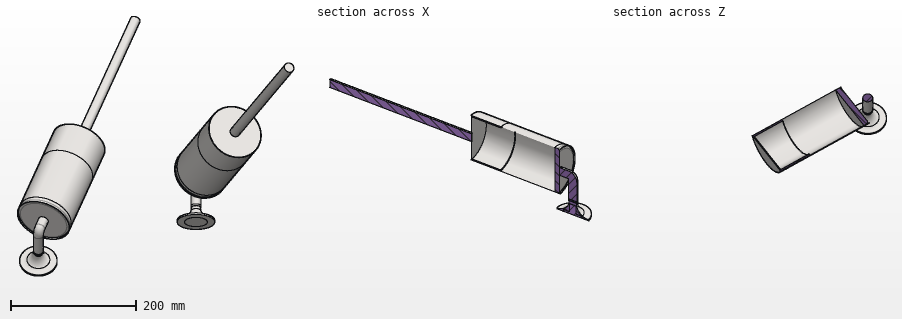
import cadquery as cq
import math


canister_radius = 44.5
flange_radius = 30.0
overall_length = 493.5
overall_height = 120.5
handle_end_y = overall_length - flange_radius
wall_z = canister_radius - overall_height

sleeve_front_y = 24.0
sleeve_length = 170.0
sleeve_back_y = sleeve_front_y + sleeve_length
sleeve_wall = 1.0
bore_radius = canister_radius - sleeve_wall
plug_inset = 0.5
plug_front_y = sleeve_front_y + plug_inset
plug_thickness = 10.0
plug_fillet = 4.0
lid_depth = 56.8
lid_wall = 2.5
lid_front_y = sleeve_back_y - lid_depth

rod_diameter = 16.5
rod_radius = rod_diameter / 2
bend_radius = 8.5

collar_top_z = -48.0
collar_height = 3.0
flange_top_z = collar_top_z - collar_height
flange_neck_radius = 7.5
flange_rim_height = 3.0
flange_rim_z = wall_z + flange_rim_height
flange_arc_radius = flange_top_z - flange_rim_z
mount_boss_radius = 6.5
mount_boss_top_z = -55.5
mount_disc_radius = 18.5
mount_disc_top_z = -71.0


def rod_along_y(radius, start_y, end_y):
    """Solid cylinder on the Y axis between two Y positions."""
    return cq.Workplane("XZ", origin=(0, start_y, 0)).circle(radius).extrude(start_y - end_y)


def disc_along_z(radius, bottom_z, top_z):
    """Solid cylinder on the Z axis between two heights."""
    return cq.Workplane("XY", origin=(0, 0, bottom_z)).circle(radius).extrude(top_z - bottom_z)


def make_sleeve():
    """Thin tube, open at both ends."""
    bore = rod_along_y(bore_radius, sleeve_front_y, sleeve_back_y)
    return rod_along_y(canister_radius, sleeve_front_y, sleeve_back_y).cut(bore)


def make_base_plug():
    """Disc closing the front of the sleeve, with a rounded front edge."""
    plug = rod_along_y(bore_radius, plug_front_y, plug_front_y + plug_thickness)
    return plug.faces("<Y").edges().fillet(plug_fillet)


def make_lid():
    """Cap closing the back of the sleeve, with a skirt reaching into it."""
    cavity = rod_along_y(bore_radius - lid_wall, lid_front_y, sleeve_back_y - lid_wall)
    return rod_along_y(bore_radius, lid_front_y, sleeve_back_y).cut(cavity)


def make_handle():
    """Straight rod standing on the lid."""
    return rod_along_y(rod_radius, sleeve_back_y, handle_end_y)


def make_bent_pipe():
    """Rod from the front of the base plug, bent down to the collar."""
    arc_offset = bend_radius * (1 - math.sqrt(0.5))
    path = (
        cq.Workplane("YZ")
        .moveTo(plug_front_y, 0)
        .lineTo(bend_radius, 0)
        .threePointArc((arc_offset, -arc_offset), (0, -bend_radius))
        .lineTo(0, collar_top_z)
    )
    return cq.Workplane("XZ", origin=(0, plug_front_y, 0)).circle(rod_radius).sweep(path)


def make_collar():
    """Short ring between the pipe and the flange."""
    return disc_along_z(rod_radius, flange_top_z, collar_top_z)


def make_wall_mount():
    """Disc against the wall with a central boss."""
    disc = disc_along_z(mount_disc_radius, wall_z, mount_disc_top_z)
    return disc.union(disc_along_z(mount_boss_radius, mount_disc_top_z, mount_boss_top_z))


def make_flange(wall_mount):
    """Trumpet-shaped cover with a quarter-circle flare, recessed for the wall mount."""
    flare_radius = flange_neck_radius + flange_arc_radius
    arc_reach = flange_arc_radius * math.sqrt(0.5)
    body = (
        cq.Workplane("XZ")
        .moveTo(0, wall_z)
        .lineTo(flange_radius, wall_z)
        .lineTo(flange_radius, flange_rim_z)
        .lineTo(flare_radius, flange_rim_z)
        .threePointArc(
            (flare_radius - arc_reach, flange_top_z - arc_reach),
            (flange_neck_radius, flange_top_z),
        )
        .lineTo(0, flange_top_z)
        .close()
        .revolve(360, (0, 0), (0, 1))
    )
    return body.cut(wall_mount)


sleeve = make_sleeve()
base_plug = make_base_plug()
lid = make_lid()
handle = make_handle()
bent_pipe = make_bent_pipe()
collar = make_collar()
wall_mount = make_wall_mount()
flange = make_flange(wall_mount)

result = cq.Compound.makeCompound([
    sleeve.val(),
    base_plug.val(),
    lid.val(),
    handle.val(),
    bent_pipe.val(),
    collar.val(),
    wall_mount.val(),
    flange.val(),
])